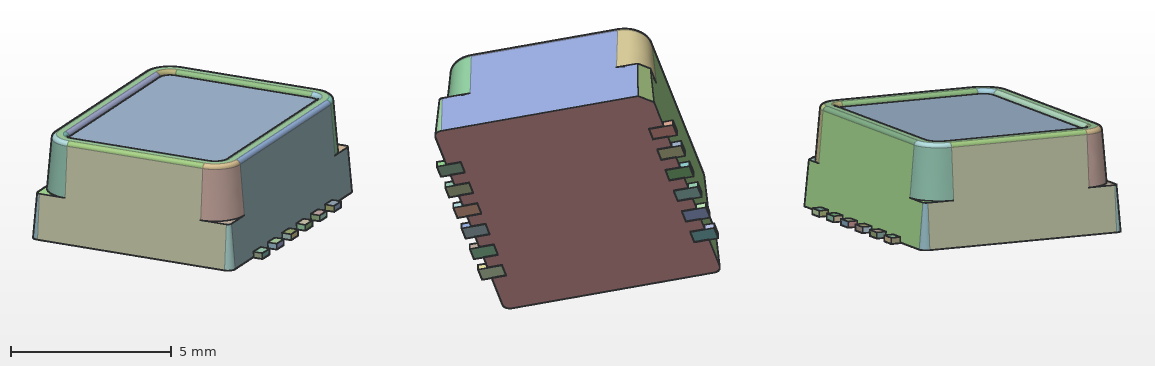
import cadquery as cq
import math

length = 8.6
width_over_leads = 7.6
height = 3.3

body_width = 7.0
standoff = 0.03
draft_angle = 5.0
base_corner_radius = 0.25
marker_chamfer = 0.4

ledge_height = 1.48
cap_corner_radius = 1.14
cap_edge_radius = 0.15

rim_width = 0.215
recess_depth = 0.155
recess_edge_radius = 0.15
edge_margin = 0.01

leads_per_side = 6
lead_pitch = 1.0
lead_width = 0.5
lead_thickness = 0.2
lead_foot_length = 0.77

body_height = height - standoff
corner_center_x = body_width / 2 - cap_corner_radius
corner_center_y = length / 2 - cap_corner_radius

top_corner_radius = cap_corner_radius - body_height * math.tan(math.radians(draft_angle))
cap_edge_inset = cap_edge_radius * math.tan(math.radians((90 - draft_angle) / 2))
recess_corner_radius = top_corner_radius - cap_edge_inset - rim_width - recess_edge_radius


def tapered_prism(footprint, prism_height):
    """Extrude a footprint drawn at the standoff level, leaning its walls inward by the draft angle."""
    wire = footprint.wires().vals()[0]
    base = cq.Workplane("XY").workplane(offset=standoff).add(wire).toPending()
    return base.extrude(prism_height, taper=draft_angle)


def rounded_block(corner_radius, block_height, bottom):
    """Upright block whose corner roundings are centred on the cap corner axes."""
    return (
        cq.Workplane("XY")
        .workplane(offset=bottom)
        .rect(2 * (corner_center_x + corner_radius), 2 * (corner_center_y + corner_radius))
        .extrude(block_height)
        .edges("|Z")
        .fillet(corner_radius)
    )


def make_base():
    """Lower body: three rounded corners and one chamfered orientation corner at -X, +Y."""
    blank = (
        cq.Workplane("XY")
        .workplane(offset=standoff)
        .rect(body_width, length)
        .extrude(ledge_height)
    )
    blank = blank.edges("|Z and (>X or <Y)").fillet(base_corner_radius)
    blank = blank.edges("|Z and <X").edges(">Y").chamfer(marker_chamfer)
    return tapered_prism(blank.faces("<Z"), ledge_height)


def make_cap():
    """Full-height body with large conical corners and a rounded top edge."""
    footprint = rounded_block(cap_corner_radius, body_height, standoff).faces("<Z")
    cap = tapered_prism(footprint, body_height)
    return cap.faces(">Z").edges().fillet(cap_edge_radius)


def cut_recess(body):
    """Shallow pocket inside a narrow flat rim, with a rounded lip."""
    pocket = rounded_block(recess_corner_radius, recess_depth, height - recess_depth)
    body = body.cut(pocket)
    reach_x = corner_center_x + recess_corner_radius + edge_margin
    reach_y = corner_center_y + recess_corner_radius + edge_margin
    lip = cq.selectors.BoxSelector(
        (-reach_x, -reach_y, height - edge_margin),
        (reach_x, reach_y, height + edge_margin),
        boundingbox=True,
    )
    return body.edges(lip).fillet(recess_edge_radius)


def make_lead(side, y):
    """Flat lead reaching from its outer tip to under the body; side is -1 or +1 along X."""
    x = side * (width_over_leads - lead_foot_length) / 2
    return (
        cq.Workplane("XY")
        .box(lead_foot_length, lead_width, lead_thickness, centered=(True, True, False))
        .translate((x, y, 0))
    )


result = cut_recess(make_base().union(make_cap()))
for side in (-1, 1):
    for index in range(leads_per_side):
        lead_y = (index - (leads_per_side - 1) / 2) * lead_pitch
        result = result.union(make_lead(side, lead_y))